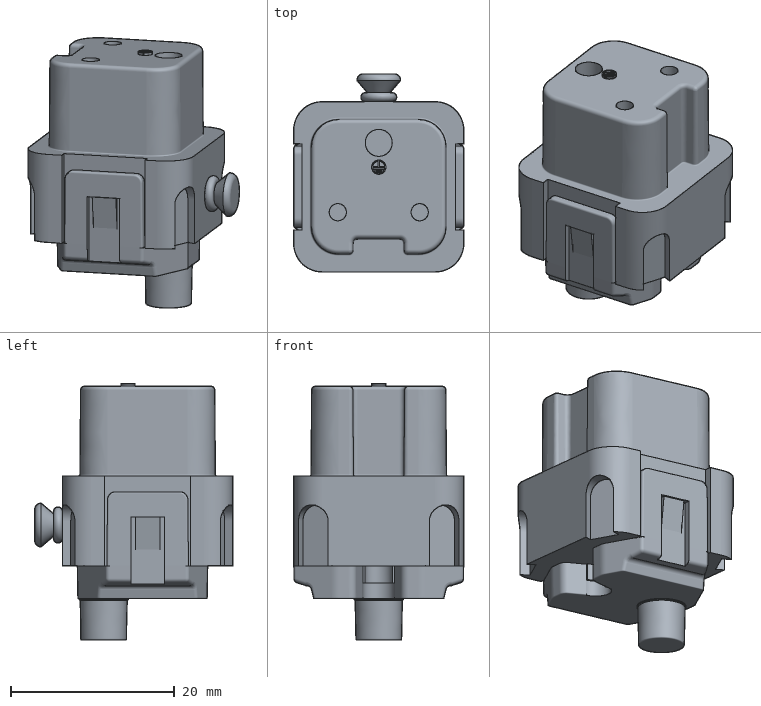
import math

import cadquery as cq

collar_height = 11.0
plug_height = 10.95
base_height = 4.0
tube_length = 5.05
mark_height = 0.3
collar_top = collar_height
plug_top = collar_top + plug_height
base_bottom = -base_height
tube_bottom = base_bottom - tube_length

margin = 0.1

collar_size = 20.8
collar_half = collar_size / 2
collar_radius = 3.5
clip_recess_depth = 1.0
clip_recess_width = 10.5

corner_angle = 25.0
arch_radius = 1.95
arch_top = 7.45
arch_middle = (-7.98, -9.63)
arch_floor_offset = 10.93

plug_half = 8.28
plug_radius = 3.4
plug_draft = 0.4
plug_top_fillet = 0.5
plug_foot_fillet = 0.15
key_half_width = 3.08
key_floor_y = -6.4
key_edge_radius = 0.5

contact_hole_depth = 10.0
pin_hole_diameter = 2.1
pin_hole_x = 5.0
pin_hole_y = -3.1
earth_hole_diameter = 3.3
earth_y = 5.37

mark_y = 2.4
mark_radius = 0.87
mark_line = 0.14
mark_bars = [(0, 1.6), (-0.28, 1.2), (-0.52, 0.7)]

base_front_y = -7.34
base_back_y = 8.6
base_side_x = 10.38
base_corner_offset = 8.9
base_draft = 1.0
base_front_radius = 2.0
base_edge_fillet = 0.5
base_bottom_fillet = 0.12
foot_outer_z = -1.92
foot_knee = (8.85, -2.42)
foot_ankle = (8.2, -2.95)
foot_mid = (8.38, -2.58)
foot_toe_x = 7.95
niche_mouth_half = 2.97
niche_floor_half = 1.94
niche_depth = 2.83
niche_mouth_radius = 0.97
groove_upper_radius = 1.68
groove_step_z = -2.05

tube_top_radius = 2.9
tube_end_radius = 2.8
tube_collar_radius = 3.0
tube_collar_height = 0.2
tube_edge_fillet = 0.15

clip_top_z = 9.06
clip_top_half = 4.9
clip_foot_half = 4.98
clip_corner_radius = 1.0
clip_edge_fillet = 0.25
clip_slot_half_width = 2.05
clip_slot_top = 6.0
clip_slot_depth = 0.83
latch_half_width = 1.5
latch_bottom = 2.0
latch_projection = 0.55

screw_z = 5.0
washer_radius = 2.2
washer_thickness = 1.1
neck_radius = 1.4
head_radius = 2.68
head_cone_length = 1.5
head_end_radius = 1.95
head_length = 3.4


def mirrored_pair(solid, plane):
    """Return a solid together with its mirror image."""
    return solid.union(solid.mirror(plane))


def make_corner_cutter():
    """Arched slot whose floor is tilted from the front face, for the front left corner."""
    sine = math.sin(math.radians(corner_angle))
    cosine = math.cos(math.radians(corner_angle))
    outward = cq.Vector(-sine, -cosine, 0)
    along = cq.Vector(cosine, -sine, 0)
    middle = cq.Vector(arch_middle[0], arch_middle[1], 0)
    origin = middle + outward * (arch_floor_offset - middle.dot(outward))
    plane = cq.Plane(origin=origin, xDir=along, normal=outward)
    spring_z = arch_top - arch_radius
    return (
        cq.Workplane(plane)
        .moveTo(-arch_radius, 0)
        .lineTo(arch_radius, 0)
        .lineTo(arch_radius, spring_z)
        .threePointArc((0, arch_top), (-arch_radius, spring_z))
        .close()
        .extrude(collar_radius)
    )


def make_collar():
    """Rounded square block with side recesses for the clips and four arched corner cutouts."""
    collar = cq.Workplane("XY").rect(collar_size, collar_size).extrude(collar_height)
    collar = collar.edges("|Z").fillet(collar_radius)
    recess = cq.Workplane("XY").box(
        2 * clip_recess_depth, clip_recess_width, collar_height, centered=(True, True, False)
    )
    for side in (-1, 1):
        collar = collar.cut(recess.translate((side * collar_half, 0, 0)))
    front_cutters = mirrored_pair(make_corner_cutter(), "YZ")
    return collar.cut(mirrored_pair(front_cutters, "XZ"))


def make_plug():
    """Drafted, rounded square plug with a keyway along its front face."""
    plug = (
        cq.Workplane("XY")
        .sketch()
        .rect(2 * plug_half, 2 * plug_half)
        .vertices()
        .fillet(plug_radius)
        .reset()
        .push([(0, (key_floor_y - plug_half) / 2)])
        .rect(2 * key_half_width, plug_half + key_floor_y, mode="s")
        .reset()
        .vertices(cq.selectors.BoxSelector(
            (-key_half_width - margin, -plug_half - margin, -margin),
            (key_half_width + margin, key_floor_y + margin, margin),
        ))
        .fillet(key_edge_radius)
        .finalize()
        .extrude(plug_height, taper=plug_draft)
    )
    plug = plug.faces(">Z").edges().fillet(plug_top_fillet)
    return plug.translate((0, 0, collar_top))


def make_housing():
    """Collar and plug joined with a small fillet around the foot of the plug."""
    housing = make_collar().union(make_plug())
    foot_edges = cq.selectors.BoxSelector(
        (-plug_half - margin, -plug_half - margin, collar_top - margin),
        (plug_half + margin, plug_half + margin, collar_top + margin),
    )
    return housing.edges(foot_edges).fillet(plug_foot_fillet)


def corner_plane_y(x):
    """Distance from the X axis of the tilted corner planes of the base at a given |x|."""
    angle = math.radians(corner_angle)
    return (base_corner_offset - x * math.sin(angle)) / math.cos(angle)


def corner_plane_x(y):
    """Distance from the Y axis of the tilted corner planes of the base at a given |y|."""
    angle = math.radians(corner_angle)
    return (base_corner_offset - y * math.cos(angle)) / math.sin(angle)


def make_base_block():
    """Eight-sided drafted block below the collar."""
    side_y = corner_plane_y(base_side_x)
    front_x = corner_plane_x(-base_front_y)
    back_x = corner_plane_x(base_back_y)
    outline = [
        (front_x, base_front_y),
        (base_side_x, -side_y),
        (base_side_x, side_y),
        (back_x, base_back_y),
        (-back_x, base_back_y),
        (-base_side_x, side_y),
        (-base_side_x, -side_y),
        (-front_x, base_front_y),
    ]
    block = cq.Workplane("XY").polyline(outline).close().extrude(-base_height, taper=base_draft)
    front_edges = cq.selectors.BoxSelector(
        (-front_x - margin, base_front_y - margin, base_bottom),
        (front_x + margin, base_front_y + 2 * margin, 0),
    )
    return block.edges(front_edges).edges("not #Z").fillet(base_front_radius)


def make_side_profile():
    """Sideways outline of the base: vertical clip sides stepping in to the narrow feet."""
    return (
        cq.Workplane("XZ")
        .moveTo(-base_side_x, 0)
        .lineTo(-base_side_x, foot_outer_z)
        .lineTo(-foot_knee[0], foot_knee[1])
        .threePointArc((-foot_mid[0], foot_mid[1]), (-foot_ankle[0], foot_ankle[1]))
        .lineTo(-foot_toe_x, base_bottom)
        .lineTo(foot_toe_x, base_bottom)
        .lineTo(foot_ankle[0], foot_ankle[1])
        .threePointArc((foot_mid[0], foot_mid[1]), (foot_knee[0], foot_knee[1]))
        .lineTo(base_side_x, foot_outer_z)
        .lineTo(base_side_x, 0)
        .close()
        .extrude(collar_half, both=True)
    )


def cut_front_niche(block):
    """Cut a flared niche with rounded mouth edges into the front of the base block."""
    niche = (
        cq.Workplane("XY")
        .moveTo(-niche_mouth_half, base_front_y)
        .lineTo(-niche_floor_half, base_front_y + niche_depth)
        .lineTo(niche_floor_half, base_front_y + niche_depth)
        .lineTo(niche_mouth_half, base_front_y)
        .close()
        .extrude(-base_height)
    )
    block = block.cut(niche)
    mouth_edges = cq.selectors.BoxSelector(
        (-niche_mouth_half - margin, base_front_y - margin, base_bottom),
        (niche_mouth_half + margin, base_front_y + 2 * margin, 0),
    )
    return block.edges(mouth_edges).edges("not #Z").fillet(niche_mouth_radius)


def make_front_groove():
    """Half-round groove behind the niche, narrower in its upper part."""
    centre_y = base_front_y + niche_depth
    upper = cq.Workplane("XY").center(0, centre_y).circle(groove_upper_radius).extrude(groove_step_z)
    lower = (
        cq.Workplane("XY", origin=(0, centre_y, groove_step_z))
        .circle(niche_floor_half)
        .extrude(base_bottom - groove_step_z)
    )
    return upper.union(lower)


def make_base():
    """Finished base: block trimmed to the stepped feet, with rounded edges and front groove."""
    block = cut_front_niche(make_base_block())
    base = block.intersect(make_side_profile())
    for side in (-1, 1):
        inner_x = side * (foot_toe_x - 3 * margin)
        outer_x = side * collar_half
        side_edges = cq.selectors.BoxSelector(
            (min(inner_x, outer_x), -collar_half, base_bottom + margin),
            (max(inner_x, outer_x), collar_half, -margin),
        )
        shoulder_edge = cq.selectors.BoxSelector(
            (outer_x - 2 * margin, -collar_half, foot_outer_z - margin),
            (outer_x + 2 * margin, collar_half, foot_outer_z + margin),
        )
        oblique = base.edges(side_edges).edges("not |Y")
        shoulder = base.edges(shoulder_edge).edges("|Y")
        base = base.newObject(oblique.vals() + shoulder.vals()).fillet(base_edge_fillet)
    base = base.faces("<Z").edges().fillet(base_bottom_fillet)
    return base.cut(make_front_groove())


def make_tube():
    """Tapered earth tube with a thin chamfered ring where it meets the base."""
    tube = (
        cq.Workplane("XY", origin=(0, earth_y, tube_bottom))
        .circle(tube_end_radius)
        .workplane(offset=tube_length)
        .circle(tube_top_radius)
        .loft()
        .faces("<Z")
        .edges()
        .fillet(tube_edge_fillet)
    )
    ring = (
        cq.Workplane("XY", origin=(0, earth_y, base_bottom))
        .circle(tube_collar_radius)
        .extrude(-tube_collar_height)
        .faces("<Z")
        .edges()
        .chamfer(tube_collar_height / 2)
    )
    return tube.union(ring)


def make_clip():
    """Latch plate of the -X side, standing in the collar recess."""
    plate_inner_x = -collar_half + clip_recess_depth
    plate = (
        cq.Workplane("YZ", origin=(-base_side_x, 0, 0))
        .moveTo(-clip_foot_half, 0)
        .lineTo(clip_foot_half, 0)
        .lineTo(clip_top_half, clip_top_z)
        .lineTo(-clip_top_half, clip_top_z)
        .close()
        .extrude(plate_inner_x + base_side_x)
    )
    top_corners = cq.selectors.BoxSelector(
        (-collar_half, -collar_half, clip_top_z - margin),
        (plate_inner_x, collar_half, clip_top_z + margin),
    )
    plate = plate.edges(top_corners).edges("|X").fillet(clip_corner_radius)
    return plate.faces("<X").edges("not (<Z)").fillet(clip_edge_fillet)


def make_clip_slot():
    """Vertical slot through the latch plate, open at the bottom."""
    return cq.Workplane("XY").box(
        2 * clip_slot_depth,
        2 * clip_slot_half_width,
        clip_slot_top - base_bottom,
        centered=(True, True, False),
    ).translate((-base_side_x, 0, base_bottom))


def make_latch():
    """Wedge at the top of the clip slot, widest at its upper end."""
    floor_x = -base_side_x + clip_slot_depth
    return (
        cq.Workplane("XZ")
        .moveTo(floor_x, latch_bottom)
        .lineTo(floor_x, clip_slot_top)
        .lineTo(floor_x - latch_projection, clip_slot_top)
        .close()
        .extrude(latch_half_width, both=True)
    )


def make_screw():
    """Rounded washer and countersunk head, turned about an axis along Y."""
    shank_start = collar_half - clip_recess_depth
    washer_end = collar_half + washer_thickness
    washer_round = washer_thickness / 2
    cone_end = washer_end + head_cone_length
    head_end = collar_half + head_length
    bulge_radius = head_end - cone_end
    screw = (
        cq.Workplane("XY")
        .moveTo(0, shank_start)
        .lineTo(neck_radius, shank_start)
        .lineTo(neck_radius, collar_half)
        .lineTo(washer_radius - washer_round, collar_half)
        .radiusArc((washer_radius - washer_round, washer_end), -washer_round)
        .lineTo(neck_radius, washer_end)
        .lineTo(head_radius, cone_end)
        .radiusArc((head_end_radius, head_end), -bulge_radius)
        .lineTo(0, head_end)
        .close()
        .revolve(360, (0, 0, 0), (0, 1, 0))
    )
    return screw.translate((0, 0, screw_z))


def make_contact_holes():
    """Two pin holes and one larger earth hole, cut down from the top of the plug."""
    holes = cq.Workplane("XY", origin=(0, 0, plug_top))
    pins = holes.pushPoints([(-pin_hole_x, pin_hole_y), (pin_hole_x, pin_hole_y)])
    pins = pins.circle(pin_hole_diameter / 2).extrude(-contact_hole_depth)
    earth = holes.center(0, earth_y).circle(earth_hole_diameter / 2).extrude(-contact_hole_depth)
    return pins.union(earth)


def make_earth_mark():
    """Raised ring holding an upright above three bars of decreasing length."""
    plane = cq.Workplane("XY", origin=(0, mark_y, plug_top))
    ring = plane.circle(mark_radius).circle(mark_radius - mark_line).extrude(mark_height)
    stem_length = mark_radius - mark_line / 2
    stem = plane.center(0, stem_length / 2).rect(mark_line, stem_length).extrude(mark_height)
    mark = ring.union(stem)
    for bar_y, bar_length in mark_bars:
        mark = mark.union(plane.center(0, bar_y).rect(bar_length, mark_line).extrude(mark_height))
    return mark


body = make_housing().union(make_base()).union(make_tube())
body = body.union(mirrored_pair(make_clip(), "YZ"))
body = body.cut(mirrored_pair(make_clip_slot(), "YZ"))
body = body.union(mirrored_pair(make_latch(), "YZ"))
body = body.union(make_screw())
body = body.cut(make_contact_holes())
result = body.union(make_earth_mark())